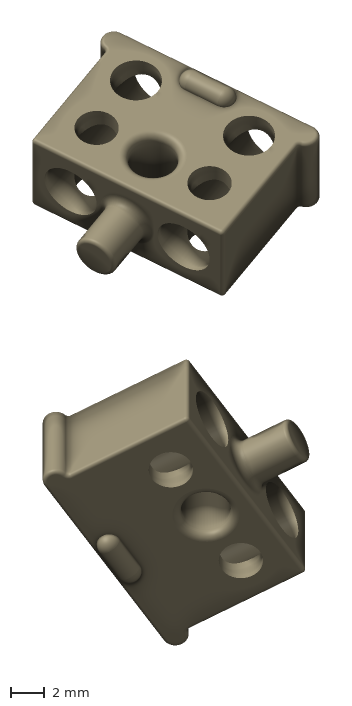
import cadquery as cq
import math

overall_width = 15.2
body_width = 13.6
body_depth = 10.0
body_height = 6.0
edge_radius = 0.25

ear_radius = (overall_width - body_width) / 2
ear_blend_radius = 0.25

pin_diameter = 2.8
pin_length = 3.6
pin_root_radius = 0.5
pin_tip_radius = 0.25

capsule_radius = 0.75
capsule_straight = 2.31
capsule_y = -1.05

side_hole_x = 4.0
long_hole_diameter = 3.7
rear_hole_diameter = 3.1
rear_hole_y = -2.74
front_hole_diameter = 2.65
front_holes_y = -7.11
center_hole_diameter = 3.0
center_hole_lip_radius = 0.5

half_width = body_width / 2
half_height = body_height / 2


def make_body():
    center_gap = ear_radius + ear_blend_radius
    blend_drop = math.sqrt(center_gap**2 - ear_blend_radius**2)
    blend_end_y = -ear_radius - blend_drop
    lobe_share = ear_radius / center_gap
    lobe_end = (
        half_width + ear_blend_radius * lobe_share,
        -ear_radius - blend_drop * lobe_share,
    )
    start_angle = math.atan2(blend_drop, -ear_blend_radius)
    middle_angle = (start_angle + math.pi) / 2
    blend_middle = (
        half_width + ear_blend_radius * (1 + math.cos(middle_angle)),
        blend_end_y + ear_blend_radius * math.sin(middle_angle),
    )
    half_outline = (
        cq.Workplane("XY", origin=(0, 0, -half_height))
        .lineTo(half_width, 0)
        .threePointArc((half_width + ear_radius, -ear_radius), lobe_end)
        .threePointArc(blend_middle, (half_width, blend_end_y))
        .lineTo(half_width, -body_depth)
        .lineTo(0, -body_depth)
    )
    body = half_outline.mirrorY().extrude(body_height)
    body = body.faces("<Y").edges("|Z").fillet(edge_radius)
    return body.faces("|Z").edges().fillet(edge_radius)


def make_pin():
    shaft_radius = pin_diameter / 2
    root_radius = shaft_radius + pin_root_radius
    arc_inset = 1 - math.sqrt(0.5)
    root_middle = (
        shaft_radius + pin_root_radius * arc_inset,
        -body_depth - pin_root_radius * arc_inset,
    )
    tip_y = -body_depth - pin_length
    tip_middle = (
        shaft_radius - pin_tip_radius * arc_inset,
        tip_y + pin_tip_radius * arc_inset,
    )
    embedded_y = -body_depth + edge_radius
    return (
        cq.Workplane("XY")
        .moveTo(0, embedded_y)
        .lineTo(root_radius, embedded_y)
        .lineTo(root_radius, -body_depth)
        .threePointArc(root_middle, (shaft_radius, -body_depth - pin_root_radius))
        .lineTo(shaft_radius, tip_y + pin_tip_radius)
        .threePointArc(tip_middle, (shaft_radius - pin_tip_radius, tip_y))
        .lineTo(0, tip_y)
        .close()
        .revolve(360, (0, 0, 0), (0, 1, 0))
    )


def make_capsule(z):
    half_straight = capsule_straight / 2
    capsule = (
        cq.Workplane("YZ", origin=(-half_straight, capsule_y, z))
        .circle(capsule_radius)
        .extrude(capsule_straight)
    )
    for x in (-half_straight, half_straight):
        end_ball = cq.Workplane("XY", origin=(x, capsule_y, z)).sphere(capsule_radius)
        capsule = capsule.union(end_ball)
    return capsule


def vertical_hole(x, y, diameter, bottom_z):
    return (
        cq.Workplane("XY", origin=(x, y, bottom_z))
        .circle(diameter / 2)
        .extrude(half_height - bottom_z)
    )


block = make_body()

block = block.cut(vertical_hole(0, front_holes_y, center_hole_diameter, -half_height))
lip_reach = center_hole_diameter / 2 + center_hole_lip_radius
block = block.edges(
    cq.selectors.BoxSelector(
        (-lip_reach, front_holes_y - lip_reach, -body_height),
        (lip_reach, front_holes_y + lip_reach, body_height),
        boundingbox=True,
    )
).edges("%CIRCLE").fillet(center_hole_lip_radius)

block = block.union(make_pin())
for capsule_z in (-half_height, half_height):
    block = block.union(make_capsule(capsule_z))

for hole_x in (-side_hole_x, side_hole_x):
    long_hole = (
        cq.Workplane("XZ", origin=(hole_x, 0, 0))
        .circle(long_hole_diameter / 2)
        .extrude(body_depth)
    )
    block = block.cut(long_hole)
    block = block.cut(vertical_hole(hole_x, rear_hole_y, rear_hole_diameter, 0))
    block = block.cut(vertical_hole(hole_x, front_holes_y, front_hole_diameter, -half_height))

result = block